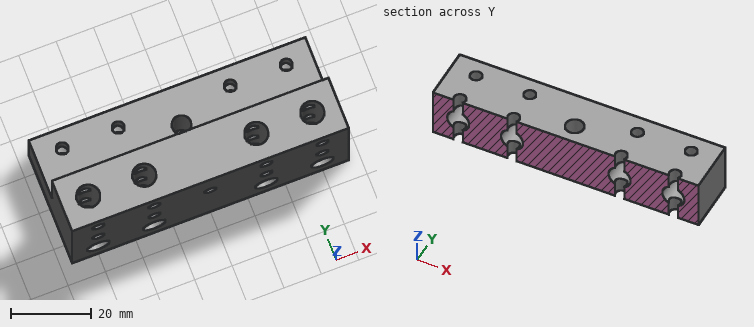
import cadquery as cq

length = 74.0
leg_reach = 30.0
leg_thickness = 14.0

outer_column = 30.0
inner_column = outer_column / 2
columns = [-outer_column, -inner_column, inner_column, outer_column]

large_row = 7.0
small_rows = [16.0, 25.0]
center_row = 20.0

large_diameter = 6.0
small_diameter = 3.2
upright_center_diameter = 3.2
base_center_diameter = 4.9


def bracket_body():
    """L profile in the YZ plane, extruded along X and centred on X = 0."""
    profile = [
        (0, 0),
        (leg_reach, 0),
        (leg_reach, leg_thickness),
        (leg_thickness, leg_thickness),
        (leg_thickness, leg_reach),
        (0, leg_reach),
    ]
    return cq.Workplane("YZ").polyline(profile).close().extrude(length / 2, both=True)


def drill_leg(body, plane, center_diameter):
    """Drill the hole pattern of one leg, placed by (column, row) on the given plane."""
    large_points = [(x, large_row) for x in columns]
    small_points = [(x, row) for x in columns for row in small_rows]
    center_points = [(0, center_row)]
    hole_groups = [
        (large_points, large_diameter),
        (small_points, small_diameter),
        (center_points, center_diameter),
    ]
    for points, diameter in hole_groups:
        circles = cq.Workplane(plane).pushPoints(points).circle(diameter / 2)
        body = body.cut(circles.extrude(leg_reach, both=True))
    return body


result = bracket_body()
result = drill_leg(result, "XZ", upright_center_diameter)
result = drill_leg(result, "XY", base_center_diameter)